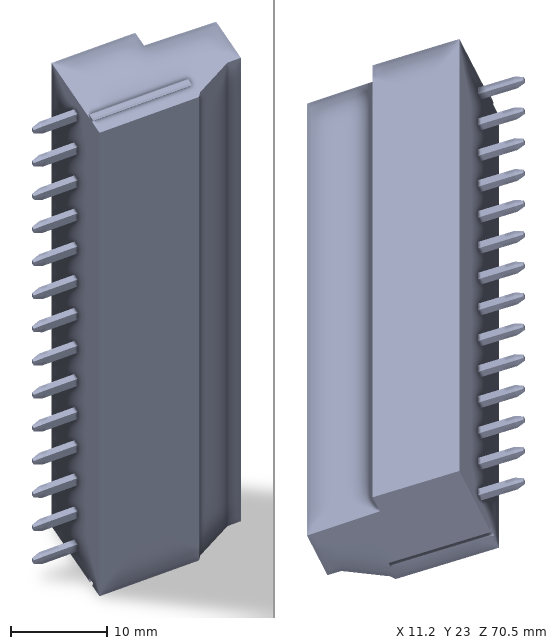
import cadquery as cq

housing_width = 11.2
housing_depth = 18.0
total_height = 70.5

step_depth = 9.7
step_inset = 2.05
top_inset = 2.3
top_right = 8.1
shoulder_drop = 1.55
slope_end_x = 10.65
slope_end_y = 12.0
side_wall_depth = 11.55

dovetail_center_x = 9.2
dovetail_length = 11.5
foot_width = 0.5
waist_width = 1.05
crown_width = 0.6
rail_height = 0.5
rail_waist_height = 0.35
groove_depth = 0.55
groove_mouth_height = 0.2

pin_count = 14
pin_center_x = 5.7
pin_width = 0.8
pin_thickness = 1.05
pin_length = 5.0
pin_tip_length = 0.9
pin_tip_scale = 0.5

housing_height = total_height - rail_height
pin_pitch = housing_height / pin_count


def make_housing():
    outline = [
        (0, 0),
        (housing_width, 0),
        (housing_width, side_wall_depth),
        (slope_end_x, slope_end_y),
        (top_right, housing_depth - shoulder_drop),
        (top_right, housing_depth),
        (top_inset, housing_depth),
        (step_inset, step_depth),
        (0, step_depth),
    ]
    return cq.Workplane("XY").polyline(outline).close().extrude(housing_height)


def make_bar(base_z, sections):
    """Bar running inward from the pin face, through sections given as (height, width, length)."""
    bar = cq.Workplane("XY")
    for lower, upper in zip(sections, sections[1:]):
        low_height, low_width, low_length = lower
        high_height, high_width, high_length = upper
        layer = (
            cq.Workplane("XY", origin=(dovetail_center_x, 0, base_z + low_height))
            .center(0, low_length / 2)
            .rect(low_width, low_length)
            .workplane(offset=high_height - low_height)
            .center(0, (high_length - low_length) / 2)
            .rect(high_width, high_length)
            .loft(ruled=True)
        )
        bar = bar.add(layer)
    return bar.combine()


def make_rail():
    """Dovetail with a narrow foot, a wide waist and beveled upper edges."""
    foot_length = dovetail_length - (waist_width - foot_width) / 2
    return make_bar(
        housing_height,
        [
            (0, foot_width, foot_length),
            (rail_waist_height, waist_width, dovetail_length),
            (rail_height, crown_width, dovetail_length),
        ],
    )


def make_groove():
    """Mating channel: flared mouth, straight side walls, plain inner end."""
    return make_bar(
        0,
        [
            (0, foot_width, dovetail_length),
            (groove_mouth_height, waist_width, dovetail_length),
            (groove_depth, waist_width, dovetail_length),
        ],
    )


def make_pin(center_z):
    """Rectangular pin along -Y with a tapered tip, rooted on the pin face."""
    shank_length = pin_length - pin_tip_length
    shank = (
        cq.Workplane("XZ", origin=(pin_center_x, 0, center_z))
        .rect(pin_width, pin_thickness)
        .extrude(shank_length)
    )
    tip = (
        cq.Workplane("XZ", origin=(pin_center_x, -shank_length, center_z))
        .rect(pin_width, pin_thickness)
        .workplane(offset=pin_tip_length)
        .rect(pin_width * pin_tip_scale, pin_thickness * pin_tip_scale)
        .loft(ruled=True)
    )
    return shank.union(tip)


result = make_housing()
result = result.cut(make_groove())
result = result.union(make_rail())
for index in range(pin_count):
    result = result.union(make_pin((index + 0.5) * pin_pitch))